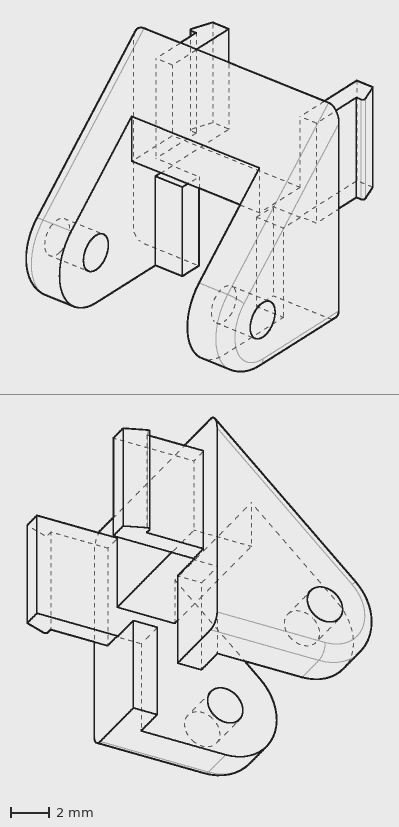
import cadquery as cq
import math

body_width = 13.84
body_height = 13.11
nose_radius = 3.06
pivot_y = -6.41
pivot_z = nose_radius
nose_y = pivot_y - nose_radius
pivot_diameter = 2.1
edge_radius = 0.71
overlap = 0.71

opening_width = 8.59
half_opening = opening_width / 2
crossbar_depth = 3.4
crossbar_bottom = 7.27

foot_width = 1.81
foot_depth = 1.41
foot_height = 5.43

clip_length = 4.77
clip_thickness = 1.1
clip_bottom = 5.49
clip_top = 11.57
barb_reach = 0.51
barb_length = 1.4
barb_tip_radius = 0.14


def block(x_range, y_range, z_range):
    """Axis-aligned box given by its limits along each axis."""
    limits = (x_range, y_range, z_range)
    sizes = [high - low for low, high in limits]
    corner = tuple(low for low, high in limits)
    return cq.Workplane("XY").box(*sizes, centered=False).translate(corner)


def make_body():
    """Side profile extruded across X, with its outer side edges rounded."""
    rise = body_height - pivot_z
    edge_distance = math.hypot(pivot_y, rise)
    tangent_angle = math.atan2(rise, -pivot_y) + math.acos(nose_radius / edge_distance)

    def nose_point(angle):
        return (pivot_y + nose_radius * math.cos(angle), pivot_z + nose_radius * math.sin(angle))

    bottom_angle = 1.5 * math.pi
    slope_start = nose_point(tangent_angle)
    nose_middle = nose_point((tangent_angle + bottom_angle) / 2)
    profile = (
        cq.Workplane("YZ")
        .moveTo(0, 0)
        .lineTo(0, body_height)
        .lineTo(*slope_start)
        .threePointArc(nose_middle, (pivot_y, 0))
        .close()
    )
    body = profile.extrude(body_width / 2, both=True)
    return body.faces("<X or >X").edges("not(>Y)").fillet(edge_radius)


def make_foot(side):
    inner = side * (half_opening - foot_width)
    outer = side * (half_opening + overlap)
    return block(sorted((inner, outer)), (-foot_depth, 0), (0, foot_height))


def make_clip(side):
    """Flat tongue with an outward barb at its free end."""
    inner = half_opening
    outer = inner + clip_thickness
    tip = outer + barb_reach
    catch_y = clip_length - barb_length
    outline = [
        (inner, -overlap),
        (inner, clip_length),
        (outer, clip_length),
        (tip, catch_y),
        (outer, catch_y),
        (outer, -overlap),
    ]
    points = [(side * x, y) for x, y in outline]
    clip_plane = cq.Workplane("XY").workplane(offset=clip_bottom)
    clip = clip_plane.polyline(points).close().extrude(clip_top - clip_bottom)
    tip_edge = "|Z and >X" if side > 0 else "|Z and <X"
    return clip.edges(tip_edge).fillet(barb_tip_radius)


result = make_body()
result = result.cut(block((-half_opening, half_opening), (nose_y, -crossbar_depth), (0, body_height)))
result = result.cut(block((-half_opening, half_opening), (nose_y, 0), (0, crossbar_bottom)))

pivot_hole = (
    cq.Workplane("YZ").center(pivot_y, pivot_z).circle(pivot_diameter / 2).extrude(body_width, both=True)
)
result = result.cut(pivot_hole)

for side in (-1, 1):
    result = result.union(make_foot(side)).union(make_clip(side))